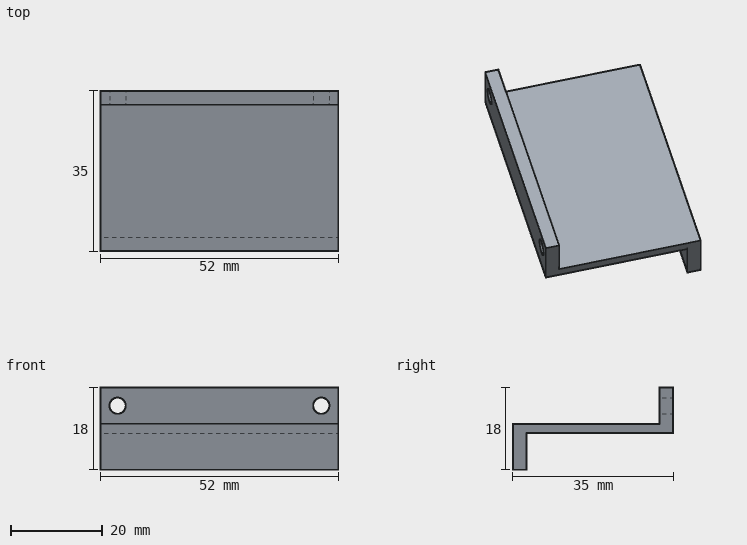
import cadquery as cq

length = 52.0
depth = 35.0
height = 18.0

web_thickness = 2.0
flange_thickness = 3.0

hole_diameter = 3.5
hole_end_distance = 3.75

flange_height = (height - web_thickness) / 2
web_top = web_thickness / 2
web_bottom = -web_thickness / 2
front = -depth / 2
back = depth / 2


def z_bracket():
    """Z-shaped section in the YZ plane, extruded symmetrically along X."""
    outline = [
        (front, web_bottom - flange_height),
        (front, web_top),
        (back - flange_thickness, web_top),
        (back - flange_thickness, web_top + flange_height),
        (back, web_top + flange_height),
        (back, web_bottom),
        (front + flange_thickness, web_bottom),
        (front + flange_thickness, web_bottom - flange_height),
    ]
    return cq.Workplane("YZ").polyline(outline).close().extrude(length / 2, both=True)


def flange_holes():
    """Cylinders along Y at both ends of the upper flange, at its mid-height."""
    hole_x = length / 2 - hole_end_distance
    hole_z = web_top + flange_height / 2
    return (
        cq.Workplane("XZ", origin=(0, back, 0))
        .pushPoints([(-hole_x, hole_z), (hole_x, hole_z)])
        .circle(hole_diameter / 2)
        .extrude(flange_thickness)
    )


result = z_bracket().cut(flange_holes())